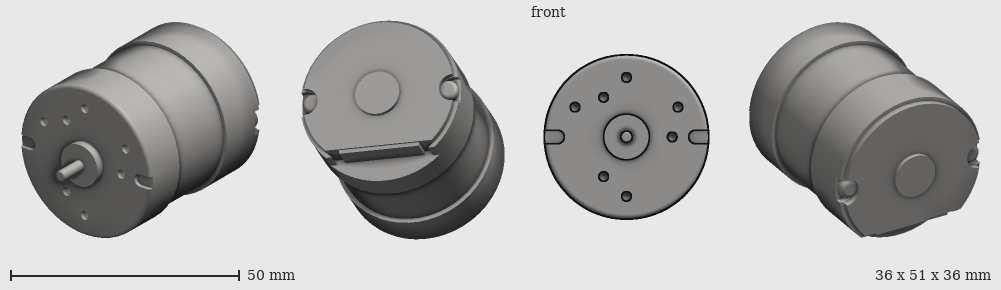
import cadquery as cq
import math


housing_diameter = 36.0
waist_diameter = 34.1
front_edge_fillet = 1.0
waist_start = 10.5
waist_end = 27.5
housing_rear = 39.5
front_boss_diameter = 10.0
front_boss_height = 2.0

mount_hole_diameter = 2.1
mount_hole_depth = 4.0
drill_point_angle = 118.0
outer_hole_radius = 13.0
outer_hole_angles = [-90, 30, 90, 150]
inner_hole_radius = 10.0
inner_hole_angles = [0, 120, 240]

front_slot_width = 3.0
front_slot_depth = 1.0
front_slot_end_centre = 15.1

pocket_rear_diameter = 6.2
pocket_diameter = 5.9
pocket_offset = 16.8
pocket_floor = 38.0

seat_floor = 35.0
window_top = -13.15

cap_rear = 41.0
cap_flat_height = -12.05
cap_boss_diameter = 10.0
cap_boss_height = 1.0
post_diameter = 4.6
post_offset = 15.3
post_rear = 40.0
post_fillet = 1.0
tongue_width = 18.0
tongue_rear = 40.5
tongue_bottom = -12.9

shaft_diameter = 2.5
shaft_tip = -9.0
shaft_end = cap_rear
shaft_tip_fillet = 0.5

housing_radius = housing_diameter / 2
sides = (-1, 1)


def cylinder(diameter, start, end, x=0.0, z=0.0):
    """Cylinder along Y between two Y positions, centred at (x, z)."""
    axis_start = cq.Vector(x, start, z)
    solid = cq.Solid.makeCylinder(diameter / 2, end - start, axis_start, cq.Vector(0, 1, 0))
    return cq.Workplane(obj=solid)


def block(x_range, y_range, z_range):
    """Box between the given limits on each axis."""
    size = [limits[1] - limits[0] for limits in (x_range, y_range, z_range)]
    corner = (x_range[0], y_range[0], z_range[0])
    return cq.Workplane("XY").box(*size, centered=False).translate(corner)


def mount_hole(radius, angle):
    """Blind hole with a conical bottom, at a polar position on the front face."""
    x = radius * math.cos(math.radians(angle))
    z = radius * math.sin(math.radians(angle))
    hole_radius = mount_hole_diameter / 2
    point_length = hole_radius / math.tan(math.radians(drill_point_angle / 2))
    profile = [
        (0, 0),
        (hole_radius, 0),
        (hole_radius, mount_hole_depth),
        (0, mount_hole_depth + point_length),
    ]
    hole = cq.Workplane("XY").polyline(profile).close().revolve(360, (0, 0, 0), (0, 1, 0))
    return hole.translate((x, 0, z))


def front_slot(side):
    """Slot that runs in from one side of the front face to a round end."""
    end_x = side * front_slot_end_centre
    half_width = front_slot_width / 2
    x_range = sorted((end_x, side * housing_diameter))
    channel = block(x_range, (0, front_slot_depth), (-half_width, half_width))
    return channel.union(cylinder(front_slot_width, 0, front_slot_depth, x=end_x))


def side_pocket(side):
    """Stepped round pocket in the rear, cut through the rims of the housing and the end cap."""
    x = side * pocket_offset
    rear_part = cylinder(pocket_rear_diameter, housing_rear, cap_rear, x=x)
    return rear_part.union(cylinder(pocket_diameter, pocket_floor, housing_rear, x=x))


def make_housing():
    body = cylinder(housing_diameter, 0, housing_rear).faces("<Y").edges().fillet(front_edge_fillet)
    waist_ring = cylinder(housing_diameter, waist_start, waist_end)
    waist_ring = waist_ring.cut(cylinder(waist_diameter, waist_start, waist_end))
    body = body.cut(waist_ring)
    body = body.union(cylinder(front_boss_diameter, -front_boss_height, front_edge_fillet))

    for angle in outer_hole_angles:
        body = body.cut(mount_hole(outer_hole_radius, angle))
    for angle in inner_hole_angles:
        body = body.cut(mount_hole(inner_hole_radius, angle))
    for side in sides:
        body = body.cut(front_slot(side))

    body = body.cut(cylinder(waist_diameter, seat_floor, housing_rear))
    for side in sides:
        body = body.cut(side_pocket(side))
    across = (-housing_radius, housing_radius)
    body = body.cut(block(across, (seat_floor, housing_rear), (-housing_diameter, window_top)))

    return body.cut(cylinder(shaft_diameter, shaft_tip, shaft_end))


def locating_post(side):
    """Round post with a rounded rear edge, standing in the side pocket of the cap."""
    post = cylinder(post_diameter, pocket_floor, post_rear, x=side * post_offset)
    return post.faces(">Y").edges().fillet(post_fillet)


def make_end_cap():
    body = cylinder(waist_diameter, seat_floor, cap_rear)
    across = (-housing_radius, housing_radius)
    body = body.cut(block(across, (seat_floor, cap_rear), (-housing_diameter, cap_flat_height)))
    body = body.union(cylinder(cap_boss_diameter, seat_floor, cap_rear + cap_boss_height))

    for side in sides:
        body = body.cut(side_pocket(side)).union(locating_post(side))

    tongue_sides = (-tongue_width / 2, tongue_width / 2)
    tongue = block(tongue_sides, (seat_floor, tongue_rear), (tongue_bottom, cap_flat_height))
    body = body.union(tongue)

    return body.cut(cylinder(shaft_diameter, seat_floor, shaft_end))


def make_shaft():
    return cylinder(shaft_diameter, shaft_tip, shaft_end).faces("<Y").edges().fillet(shaft_tip_fillet)


housing = make_housing()
end_cap = make_end_cap()
shaft = make_shaft()

result = cq.Compound.makeCompound([housing.val(), end_cap.val(), shaft.val()])